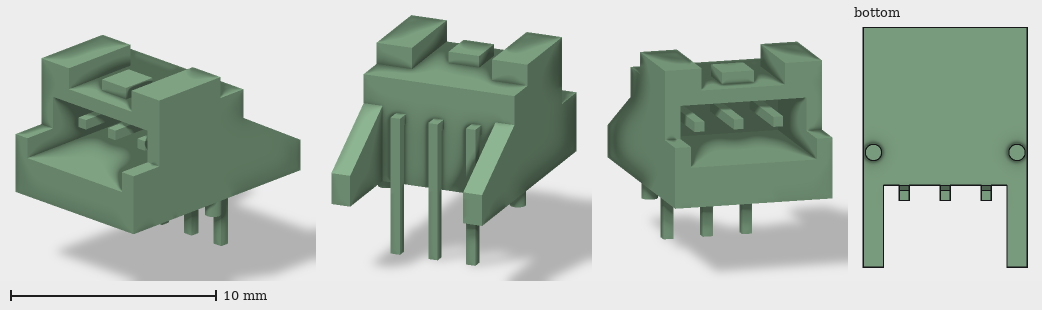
import cadquery as cq

WIDTH = 8.0
LENGTH = 11.7
HEIGHT = 6.5
BODY_LENGTH = 7.7
LIP_LENGTH = 1.8
LIP_HEIGHT = 3.04
RIB_END = 6.1
DECK_HEIGHT = 5.4
DECK_WIDTH = 4.24

ARM_WIDTH = 1.0
ARM_FRONT_HEIGHT = 3.9
ARM_REAR_HEIGHT = 1.6

CAVITY_WIDTH = 6.4
CAVITY_FLOOR = 2.0
CAVITY_ROOF = 4.7
BACK_WALL = 1.0
CAVITY_DEPTH = BODY_LENGTH - BACK_WALL

LATCH_WIDTH = 1.62
LATCH_START = 2.77
LATCH_LENGTH = 1.85
LATCH_TOP = 6.0

PIN_COUNT = 3
PIN_PITCH = 2.0
PIN_SIZE = 0.5
PIN_HEIGHT = 3.4
PIN_TIP = 2.6
PIN_BACK = 8.45
PIN_BOTTOM = -3.4

PEG_DIAMETER = 0.8
PEG_LENGTH = 0.83
PEG_OFFSET = 3.5
PEG_Y = 6.1


def box(width, y_range, z_range, x_center=0.0):
    """Box centred at x_center, spanning the given Y and Z ranges."""
    length = y_range[1] - y_range[0]
    height = z_range[1] - z_range[0]
    return cq.Workplane("XY").box(width, length, height, centered=(True, False, False)).translate(
        (x_center, y_range[0], z_range[0])
    )


def make_housing():
    """Stepped side profile, cut away between the arms, over the deck and in the cavity."""
    profile = [
        (0, 0),
        (LENGTH, 0),
        (LENGTH, ARM_REAR_HEIGHT),
        (BODY_LENGTH, ARM_FRONT_HEIGHT),
        (BODY_LENGTH, DECK_HEIGHT),
        (RIB_END, DECK_HEIGHT),
        (RIB_END, HEIGHT),
        (LIP_LENGTH, HEIGHT),
        (LIP_LENGTH, LIP_HEIGHT),
        (0, LIP_HEIGHT),
    ]
    housing = cq.Workplane("YZ").polyline(profile).close().extrude(WIDTH / 2, both=True)
    arm_gap = box(WIDTH - 2 * ARM_WIDTH, (BODY_LENGTH, LENGTH), (0, HEIGHT))
    deck_channel = box(DECK_WIDTH, (LIP_LENGTH, RIB_END), (DECK_HEIGHT, HEIGHT))
    cavity = box(CAVITY_WIDTH, (0, CAVITY_DEPTH), (CAVITY_FLOOR, CAVITY_ROOF))
    return housing.cut(arm_gap).cut(deck_channel).cut(cavity)


def make_latch():
    """Small block standing on the deck."""
    return box(LATCH_WIDTH, (LATCH_START, LATCH_START + LATCH_LENGTH), (DECK_HEIGHT, LATCH_TOP))


def make_pin(x_center):
    """Right-angle square pin: a horizontal contact and a vertical solder leg."""
    top = PIN_HEIGHT + PIN_SIZE / 2
    contact = box(PIN_SIZE, (PIN_TIP, PIN_BACK), (top - PIN_SIZE, top), x_center)
    leg = box(PIN_SIZE, (PIN_BACK - PIN_SIZE, PIN_BACK), (PIN_BOTTOM, top), x_center)
    return contact.union(leg)


def make_peg(x_center):
    """Round locating peg below the housing."""
    return cq.Workplane("XY").center(x_center, PEG_Y).circle(PEG_DIAMETER / 2).extrude(-PEG_LENGTH)


result = make_housing().union(make_latch())
for index in range(PIN_COUNT):
    result = result.union(make_pin((index - (PIN_COUNT - 1) / 2) * PIN_PITCH))
for side in (-1, 1):
    result = result.union(make_peg(side * PEG_OFFSET))